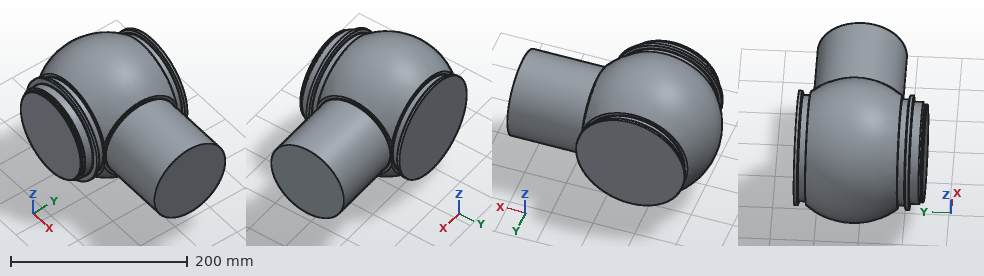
import cadquery as cq

ball_diameter = 165.0
ball_radius = ball_diameter / 2
total_length = 235.2
port_flat = 51.7
pipe_flat = 61.9

pipe_radius = 101.5 / 2
pipe_end = total_length - ball_radius
pipe_collar_length = 1.6
pipe_collar_step = 0.5

port_flange_face = 65.0
flange_radius = 130.0 / 2
flange_thickness = 3.5
flange_cone_length = 1.5
flange_cone_outer_radius = 64.5
flange_cone_inner_radius = 61.9
neck_radius = 120.7 / 2
neck_collar_length = 0.7
neck_collar_step = 0.7

plug_end = 81.0
plug_radius = 116.2 / 2
plug_shoulder = 76.0
plug_collar_length = 1.0
plug_collar_step = 0.5
lip_radius = 111.5 / 2
groove_radius = 110.0 / 2
groove_start = 77.9
groove_end = 79.0
lip_chamfer = lip_radius - groove_radius


def disc(radius, start, end):
    """Solid cylinder along +Y between two distances from the origin."""
    return cq.Workplane("XZ", origin=(0, start, 0)).circle(radius).extrude(start - end)


def housing():
    """Ball with flats where the two ports and the pipe leave it."""
    ball = cq.Workplane("XY").sphere(ball_radius)
    envelope = cq.Workplane("XY").box(
        ball_radius + pipe_flat, 2 * port_flat, ball_diameter
    ).translate(((pipe_flat - ball_radius) / 2, 0, 0))
    return ball.intersect(envelope)


def pipe():
    """Solid pipe stub with a thin collar against the ball."""
    plane = cq.Workplane("YZ")
    stub = plane.circle(pipe_radius).extrude(pipe_end)
    collar = plane.circle(pipe_radius + pipe_collar_step).extrude(pipe_flat + pipe_collar_length)
    return stub.union(collar)


def port():
    """Neck and flange of the +Y port, with a short cone under the flange."""
    flange_back = port_flange_face - flange_thickness
    cone_start = flange_back - flange_cone_length
    neck = disc(neck_radius, 0, port_flange_face)
    collar = disc(neck_radius + neck_collar_step, 0, port_flat + neck_collar_length)
    flange_profile = [
        (0, cone_start),
        (flange_cone_inner_radius, cone_start),
        (flange_cone_outer_radius, flange_back),
        (flange_radius, flange_back),
        (flange_radius, port_flange_face),
        (0, port_flange_face),
    ]
    flange = cq.Workplane("XY").polyline(flange_profile).close().revolve(360, (0, 0), (0, 1))
    return neck.union(collar).union(flange)


def plug():
    """Stepped plug with a collar at the flange and a narrow groove behind its chamfered end lip."""
    collar_radius = plug_radius + plug_collar_step
    collar_end = port_flange_face + plug_collar_length
    profile = [
        (0, 0),
        (collar_radius, 0),
        (collar_radius, -collar_end),
        (plug_radius, -collar_end),
        (plug_radius, -plug_shoulder),
        (lip_radius, -plug_shoulder),
        (groove_radius, -groove_start),
        (groove_radius, -groove_end),
        (lip_radius, -groove_end),
        (lip_radius, -plug_end + lip_chamfer),
        (lip_radius - lip_chamfer, -plug_end),
        (0, -plug_end),
    ]
    return cq.Workplane("XY").polyline(profile).close().revolve(360, (0, 0), (0, 1))


back_port = port()
front_port = back_port.mirror("XZ")
result = housing().union(pipe()).union(back_port).union(front_port).union(plug())